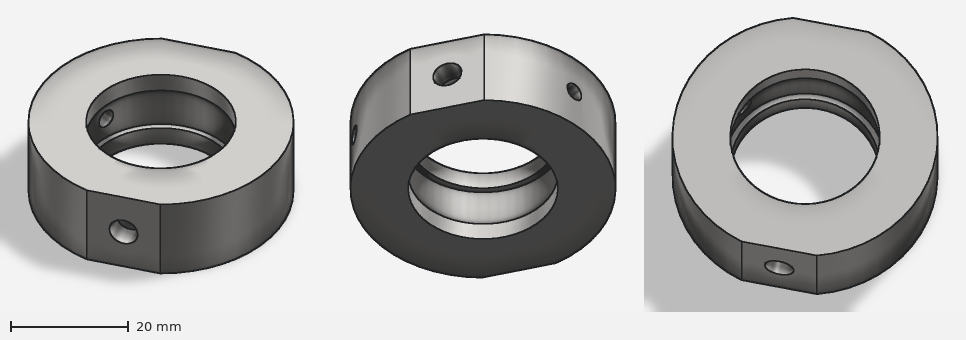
import cadquery as cq
import math

outer_diameter = 44.9
width_across_flats = 43.0
height = 15.0
bore_diameter = 25.35

groove_diameter = 27.5
lip_height = 3.4
groove_height = height - 2 * lip_height

blind_diameter = 5.0
blind_depth = 4.0
drill_point_angle = 118.0

radial_diameter = 3.3
radial_angles = (30, 150)


def ring_body():
    """Ring with two parallel flats, resting on Z = 0."""
    disc = cq.Workplane("XY").circle(outer_diameter / 2).extrude(height)
    flats = cq.Workplane("XY").rect(outer_diameter, width_across_flats).extrude(height)
    bore = cq.Workplane("XY").circle(bore_diameter / 2).extrude(height)
    return disc.intersect(flats).cut(bore)


def groove():
    """Disc that widens the bore between the lips."""
    return (
        cq.Workplane("XY")
        .workplane(offset=lip_height)
        .circle(groove_diameter / 2)
        .extrude(groove_height)
    )


def drilled_hole():
    """Blind hole with a conical end, entering the flat on the -Y side."""
    radius = blind_diameter / 2
    point_length = radius / math.tan(math.radians(drill_point_angle / 2))
    tool = (
        cq.Workplane("XZ")
        .lineTo(radius, 0)
        .lineTo(radius, blind_depth)
        .lineTo(0, blind_depth + point_length)
        .close()
        .revolve(360, (0, 0), (0, 1))
    )
    return tool.rotate((0, 0, 0), (1, 0, 0), -90).translate((0, -width_across_flats / 2, height / 2))


def radial_hole(angle):
    """Cylinder from the ring axis outwards, at an angle from +X."""
    return (
        cq.Workplane("YZ")
        .center(0, height / 2)
        .circle(radial_diameter / 2)
        .extrude(outer_diameter)
        .rotate((0, 0, 0), (0, 0, 1), angle)
    )


result = ring_body().cut(groove())

for turn in (0, 180):
    result = result.cut(drilled_hole().rotate((0, 0, 0), (0, 0, 1), turn))

for angle in radial_angles:
    result = result.cut(radial_hole(angle))